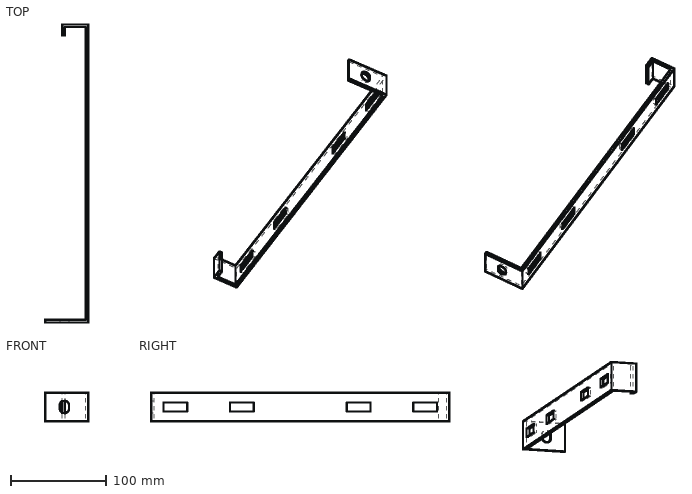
import cadquery as cq

length = 313.5
foot_width = 45.5
height = 30.0
thickness = 3.0

hook_width = 27.5
lip_length = 11.5

slot_length = 24.8
slot_height = 9.0
slot_end_gap = 13.2
slot_pitch = 70.0

hole_width = 9.7
hole_height = 13.0
hole_offset = 20.5


def bent_strip():
    """Sharp-cornered strip with a foot at -Y and a hook at +Y; the outer web face is at X = 0."""
    outline = [
        (-foot_width, 0),
        (0, 0),
        (0, length),
        (-hook_width, length),
        (-hook_width, length - lip_length),
        (-hook_width + thickness, length - lip_length),
        (-hook_width + thickness, length - thickness),
        (-thickness, length - thickness),
        (-thickness, thickness),
        (-foot_width, thickness),
    ]
    return cq.Workplane("XY").polyline(outline).close().extrude(height)


def web_slots():
    """Two slots near each end, mirrored about the middle of the web."""
    outer_y = length / 2 - slot_end_gap - slot_length / 2
    inner_y = outer_y - slot_pitch
    centers = [(y, 0) for y in (-outer_y, -inner_y, inner_y, outer_y)]
    return (
        cq.Workplane("YZ", origin=(0, length / 2, height / 2))
        .pushPoints(centers)
        .rect(slot_length, slot_height)
        .extrude(-thickness)
    )


def foot_hole():
    """Round-ended upright hole through the foot."""
    return (
        cq.Workplane("XZ", origin=(-foot_width + hole_offset, 0, height / 2))
        .slot2D(hole_height, hole_width, 90)
        .extrude(-thickness)
    )


result = bent_strip().cut(web_slots()).cut(foot_hole())